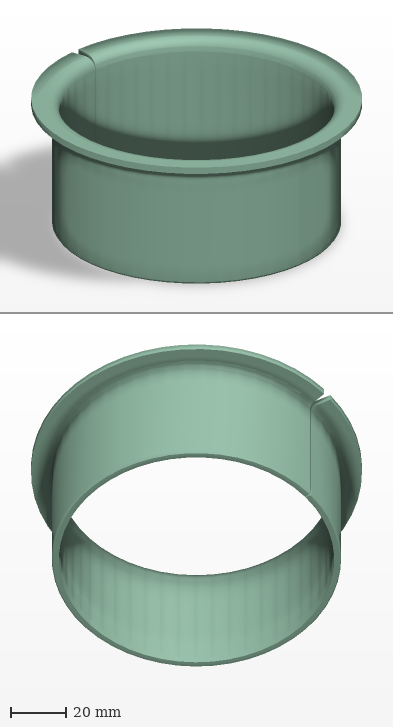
import cadquery as cq
import math

flange_radius = 60.0
height = 50.0
wall = 2.5
bore_radius = 49.9
body_radius = bore_radius + wall
bend_inner_radius = 2.0
bend_outer_radius = bend_inner_radius + wall

chamfer_width = 0.5
chamfer_height = 0.7

split_offset_angle = 2.0
split_apex_radius = 49.2
split_width_at_rim = 3.6
cutter_reach = 2.4


def flanged_sleeve():
    """Revolve the bent wall section about Z."""
    diagonal = math.sqrt(0.5)
    bend_radius_from_axis = bore_radius + bend_outer_radius
    bend_height = height - bend_outer_radius

    def bend_midpoint(radius):
        return (bend_radius_from_axis - radius * diagonal, bend_height + radius * diagonal)

    return (
        cq.Workplane("XZ")
        .moveTo(bore_radius, 0)
        .lineTo(body_radius - chamfer_width, 0)
        .lineTo(body_radius, chamfer_height)
        .lineTo(body_radius, bend_height)
        .threePointArc(bend_midpoint(bend_inner_radius), (bend_radius_from_axis, height - wall))
        .lineTo(flange_radius, height - wall)
        .lineTo(flange_radius, height)
        .lineTo(bend_radius_from_axis, height)
        .threePointArc(bend_midpoint(bend_outer_radius), (bore_radius, bend_height))
        .close()
        .revolve(360, (0, 0), (0, 1))
    )


def split_wedge():
    """Full-height wedge, narrow at the bore and widening to the flange rim."""
    outer_radius = flange_radius + cutter_reach
    widening = split_width_at_rim / (flange_radius - split_apex_radius)
    outer_half_width = widening * (outer_radius - split_apex_radius) / 2

    return (
        cq.Workplane("XY")
        .moveTo(-split_apex_radius, 0)
        .lineTo(-outer_radius, outer_half_width)
        .lineTo(-outer_radius, -outer_half_width)
        .close()
        .extrude(height)
        .rotate((0, 0, 0), (0, 0, 1), split_offset_angle)
    )


result = flanged_sleeve().cut(split_wedge())